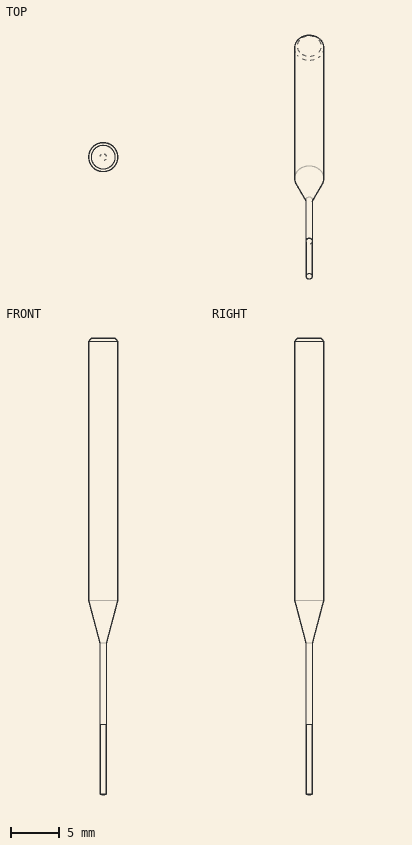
import cadquery as cq

total_length = 47.1
shank_diameter = 3.0
neck_diameter = 0.7
cutter_diameter = 0.65

cutter_length = 7.3
point_height = 0.1
taper_bottom = 15.7
taper_top = 20.05

bevel_width = 0.3
bevel_height = 0.35


def make_holder():
    """Shank with a bevelled end, tapering down to a slender neck."""
    shank_radius = shank_diameter / 2
    neck_radius = neck_diameter / 2
    half_section = (
        cq.Workplane("XZ")
        .moveTo(0, cutter_length)
        .lineTo(neck_radius, cutter_length)
        .lineTo(neck_radius, taper_bottom)
        .lineTo(shank_radius, taper_top)
        .lineTo(shank_radius, total_length - bevel_height)
        .lineTo(shank_radius - bevel_width, total_length)
        .lineTo(0, total_length)
        .close()
    )
    return half_section.revolve(360, (0, 0, 0), (0, 1, 0))


def make_cutter():
    """Round cutter with a shallow conical point, meeting the end face of the neck."""
    cutter_radius = cutter_diameter / 2
    half_section = (
        cq.Workplane("XZ")
        .moveTo(0, 0)
        .lineTo(cutter_radius, point_height)
        .lineTo(cutter_radius, cutter_length)
        .lineTo(0, cutter_length)
        .close()
    )
    return half_section.revolve(360, (0, 0, 0), (0, 1, 0))


holder = make_holder()
cutter = make_cutter()

result = cq.Compound.makeCompound([holder.val(), cutter.val()])